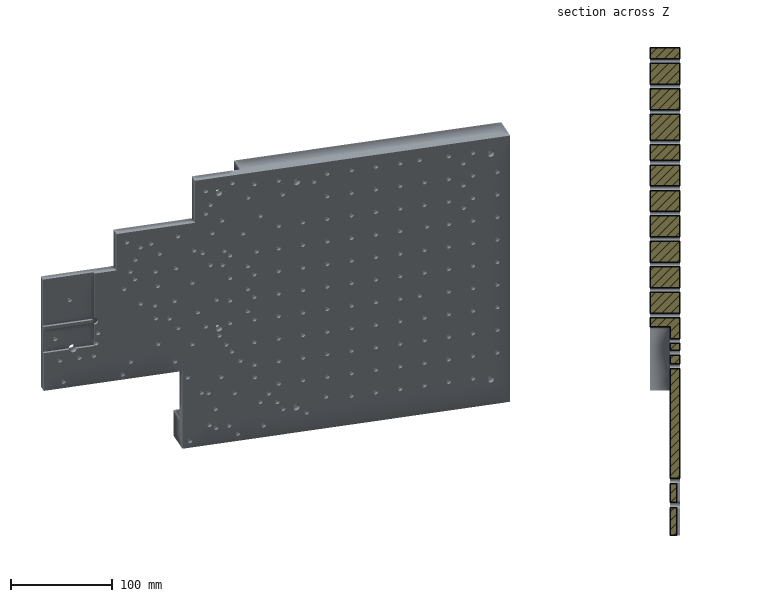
import cadquery as cq


LENGTH = 480.0
GRID_PITCH = LENGTH / 19.2
HEIGHT = 11.8 * GRID_PITCH
THICKNESS = 30.0

TOP_STEP_BACK = 324.5
MIDDLE_STEP_BACK = 16.2 * GRID_PITCH
FOOT_BACK = 337.5
TOP_STEP_DROP = 46.5
TIP_TOP_DROP = 87.0
TIP_BOTTOM_DROP = 209.0

RELIEF_DEPTH = 19.5
RELIEF_BACK = 275.0
RELIEF_BOTTOM_DROP = 267.0
RELIEF_CORNER_RADIUS = 1.5

RECESS_DEPTH = 3.0
RECESS_BACK = 427.5
RECESS_BOTTOM_DROP = 167.0

RIB_DROP = 139.5
RIB_WIDTH = 3.5
RIB_BACK = 428.5
NOTCH_DIAMETER = 7.0

HOLE_DIAMETER = 5.0
LARGE_HOLE_DIAMETER = 7.0
GRID_BACK_MARGIN = 13.5
GRID_DROP_MARGIN = 13.0
GRID_COLUMNS = 13
GRID_ROWS = 11

SKIPPED_COLUMNS = {
    1: {1, 4, 9, 12},
    2: {9, 10, 11, 12},
    3: {11, 12, 13},
    4: {4, 11, 13},
    5: {13},
    6: {13},
    7: {4},
    8: {12, 13},
    9: {12, 13},
    10: {11, 12, 13},
    11: {1, 8, 9, 10, 11, 12, 13},
}

LARGE_HOLES = [
    (20.0, 17.0), (20.0, 267.0), (220.0, 17.5), (220.5, 267.0), (300.0, 17.0), (300.0, 167.0), (450.0, 167.0),
]

EXTRA_HOLES = [
    (48.0, 72.5), (48.5, 23.0), (48.5, 47.5), (86.0, 87.5), (93.5, 12.5), (93.5, 162.5), (189.5, 259.5),
    (202.0, 19.5), (210.0, 274.5), (234.0, 267.0), (234.0, 29.0), (240.0, 258.0), (248.5, 247.0), (254.0, 282.0),
    (257.5, 49.0), (257.5, 255.5), (261.0, 88.0), (263.0, 227.0), (270.0, 27.0), (270.0, 102.5), (270.0, 128.0),
    (270.0, 152.5), (275.0, 66.0), (278.0, 206.5), (280.5, 287.0), (283.5, 241.5), (286.0, 8.0), (286.5, 195.0),
    (289.5, 276.5), (292.5, 186.0), (294.0, 82.0), (296.0, 97.5), (296.5, 48.0), (297.5, 221.5),
    (299.5, 175.0), (302.5, 135.0), (303.0, 277.0), (303.5, 256.0), (306.5, 60.5), (308.5, 29.0), (308.5, 95.5),
    (309.5, 272.5), (310.5, 237.0), (317.0, 81.0), (318.0, 235.5), (321.5, 146.0), (325.5, 77.0),
    (327.5, 112.5), (327.5, 180.5), (330.0, 287.5), (332.0, 216.5), (342.0, 160.5), (342.0, 58.5),
    (344.0, 93.5), (345.0, 197.0), (345.5, 129.5), (351.0, 148.5), (361.0, 75.0), (362.5, 174.5),
    (363.0, 110.5), (365.0, 146.0), (365.5, 94.0), (366.0, 131.5), (369.5, 62.5), (380.5, 65.0),
    (380.5, 127.0), (386.0, 78.0), (386.5, 99.5), (390.5, 190.0), (391.0, 90.0), (394.5, 57.0),
    (397.5, 108.5), (399.0, 203.0), (424.5, 153.0), (426.0, 164.0), (428.5, 177.5), (443.5, 177.5),
    (452.5, 114.0), (460.0, 201.5), (463.5, 177.5), (467.5, 154.5),
]


def place(back, drop):
    """(Y, Z) of a spot given by its distances from the +Y edge and the top edge."""
    return (LENGTH / 2 - back, HEIGHT / 2 - drop)


def box(x_start, x_size, back_range, drop_range):
    """Box spanning the given back and drop ranges, starting at x_start."""
    y_high, z_high = place(back_range[0], drop_range[0])
    y_low, z_low = place(back_range[1], drop_range[1])
    block = cq.Workplane("XY").box(x_size, y_high - y_low, z_high - z_low, centered=False)
    return block.translate((x_start, y_low, z_low))


def discs(x_start, x_size, spots, diameter):
    """Cylinders along X at the given (back, drop) spots."""
    points = [place(back, drop) for back, drop in spots]
    cylinders = cq.Workplane("YZ").pushPoints(points).circle(diameter / 2).extrude(x_size)
    return cylinders.translate((x_start, 0, 0))


def make_plate():
    """Full-thickness block with the stepped outline."""
    outline = [
        place(0, 0),
        place(TOP_STEP_BACK, 0),
        place(TOP_STEP_BACK, TOP_STEP_DROP),
        place(MIDDLE_STEP_BACK, TOP_STEP_DROP),
        place(MIDDLE_STEP_BACK, TIP_TOP_DROP),
        place(LENGTH, TIP_TOP_DROP),
        place(LENGTH, TIP_BOTTOM_DROP),
        place(FOOT_BACK, TIP_BOTTOM_DROP),
        place(FOOT_BACK, HEIGHT),
        place(0, HEIGHT),
    ]
    plate = cq.Workplane("YZ").polyline(outline).close().extrude(THICKNESS)
    return plate.translate((-THICKNESS / 2, 0, 0))


def make_relief():
    """Material milled off the -X face, with one rounded inner corner."""
    relief = box(-THICKNESS / 2, RELIEF_DEPTH, (RELIEF_BACK, LENGTH), (0, RELIEF_BOTTOM_DROP))
    return relief.edges("|X and >Y and <Z").fillet(RELIEF_CORNER_RADIUS)


def make_recess():
    """Shallow open corner recess on the +X face of the tip, with its notch and without its rib."""
    floor_x = THICKNESS / 2 - RECESS_DEPTH
    recess = box(floor_x, RECESS_DEPTH, (RECESS_BACK, LENGTH), (TIP_TOP_DROP, RECESS_BOTTOM_DROP))
    notch = discs(floor_x, RECESS_DEPTH, [(RECESS_BACK, RIB_DROP)], NOTCH_DIAMETER)

    rib_end = RIB_BACK + RIB_WIDTH / 2
    rib_drops = (RIB_DROP - RIB_WIDTH / 2, RIB_DROP + RIB_WIDTH / 2)
    rib = box(floor_x, RECESS_DEPTH, (rib_end, LENGTH), rib_drops)
    rib = rib.union(discs(floor_x, RECESS_DEPTH, [(rib_end, RIB_DROP)], RIB_WIDTH))
    return recess.union(notch).cut(rib)


def grid_holes():
    """(back, drop) of every small hole on the regular grid."""
    return [
        (GRID_BACK_MARGIN + (column - 1) * GRID_PITCH, GRID_DROP_MARGIN + (row - 1) * GRID_PITCH)
        for row in range(1, GRID_ROWS + 1)
        for column in range(1, GRID_COLUMNS + 1)
        if column not in SKIPPED_COLUMNS[row]
    ]


def make_holes(spots, diameter):
    """Round holes through the whole thickness."""
    return discs(-THICKNESS / 2, THICKNESS, spots, diameter)


result = (
    make_plate()
    .cut(make_relief())
    .cut(make_recess())
    .cut(make_holes(grid_holes() + EXTRA_HOLES, HOLE_DIAMETER))
    .cut(make_holes(LARGE_HOLES, LARGE_HOLE_DIAMETER))
)